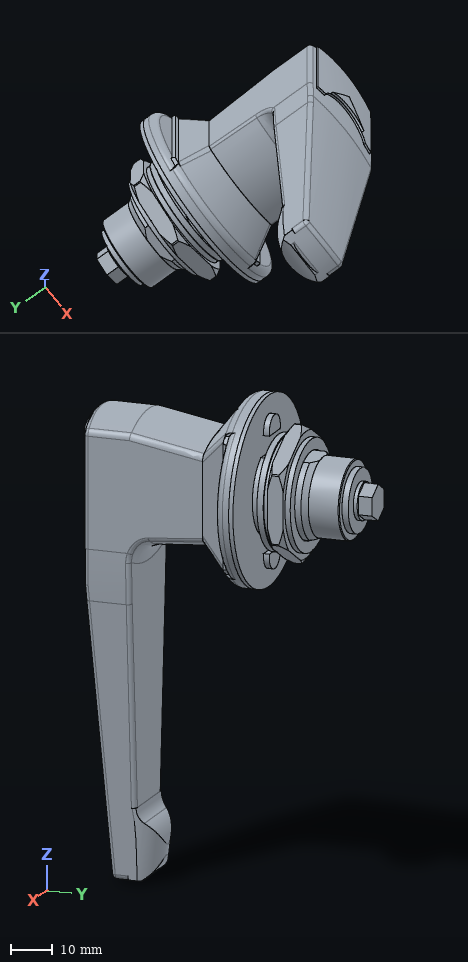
import cadquery as cq
import math


overall_height = 123.9

flange_radius = 48.0 / 2
gasket_thickness = 1.1
flange_front_y = -4.6
flange_front_fillet = 1.9
hub_half_width = 15.5
hub_rim_y = -3.5
hub_cone_y = -5.3
hub_cone_radius = 23.2
hub_root_width = 1.6
hub_edge_fillet = 2.0
joint_y = -12.3

lug_radius = 7.3 / 2
lug_center_z = 15.6
lug_flat_z = 14.7
lug_height = 1.5

neck_radius = 22.2 / 2
neck_flat_z = 19.5 / 2
neck_end_radius = 10.0
neck_length = 14.0
neck_chamfer_length = 1.5

washer_back_y = 2.5
washer_thickness = 1.6
washer_radius = 28.9 / 2
nut_collar_radius = 28.1 / 2
nut_collar_length = 1.4
nut_hex_length = 4.1
nut_across_flats = 30.4
nut_corner_radius = 34.8 / 2
nut_chamfer_start_radius = 15.9
nut_chamfer_length = 1.1

cap_radius = 10.0
cap_length = 7.9
cap_chamfer = 0.2
end_washer_radius = 16.2 / 2
end_washer_thickness = 1.6
bolt_collar_radius = 9.5 / 2
bolt_collar_length = 1.0
bolt_total_length = 4.6
bolt_across_flats = 8.0
end_washer_y = neck_length + cap_length
bolt_y = end_washer_y + end_washer_thickness

shank_half_width = 12.5
shank_crown_z = 14.1
shank_edge_z = 10.5
head_crown_z = 17.3
head_edge_z = 13.8
shank_low_crown_z = -15.6
shank_low_edge_z = -12.3
lever_back_y = -31.0
lever_front_y = -43.9
lever_crown_radius = 68.2
front_taper_start_z = -24.8
front_taper_angle = 4.5
side_blend_start_z = -15.6
side_blend_end_z = -28.6
side_taper_angle = math.radians(3.8)
tip_edge_z = -98.9
tip_crown_z = flange_radius - overall_height
elbow_fillet = 5.2
shank_edge_fillet = 2.0
handle_edge_fillet = 1.1
tip_corner_fillet = 1.5

bulge_root_y = -33.5
bulge_start_z = -80.4
bulge_neck_y = -29.2
bulge_neck_z = -84.3
bulge_back_y = -26.0
bulge_back_z = -91.1
bulge_end_z = -99.5
bulge_crown_radius = 8.8
bulge_crown_tilt = -7.0

pad_half_width = 10.5
pad_crown_z = 16.1
pad_edge_z = 14.0
pad_bottom_z = -16.4
pad_height = 0.5
bay_half_width = 7.8
bay_top_z = -9.7
arrow_tip_z = -1.7
arrow_base_z = -12.3
arrow_half_width = 12.3 / 2
arrow_height = 0.6

trim_length = 371.8

front_rim_limit_y = -37.2
pick_margin = 0.1


def disc(radius, y_start, y_end):
    """Cylinder about the Y axis between two Y positions."""
    return cq.Workplane("XZ", origin=(0, y_start, 0)).circle(radius).extrude(y_start - y_end)


def crowned_section(plane, half_width, top_edge, top_crown, low_edge, low_crown):
    """Outline with straight sides and bowed top and bottom."""
    return (
        plane.moveTo(-half_width, low_edge)
        .lineTo(-half_width, top_edge)
        .threePointArc((0, top_crown), (half_width, top_edge))
        .lineTo(half_width, low_edge)
        .threePointArc((0, low_crown), (-half_width, low_edge))
        .close()
    )


def hexagon(across_flats, y_start, length):
    """Hexagonal prism along Y with corners at top and bottom."""
    return (
        cq.Workplane("XZ", origin=(0, y_start, 0))
        .transformed(rotate=(0, 0, 30))
        .polygon(6, across_flats / math.cos(math.pi / 6))
        .extrude(-length)
    )


def make_neck():
    """Neck with a chamfered end and two flats."""
    neck = disc(neck_radius, -gasket_thickness, neck_length)
    neck = neck.faces(">Y").chamfer(neck_chamfer_length, neck_radius - neck_end_radius)
    between_flats = cq.Workplane("XY").box(trim_length, trim_length, 2 * neck_flat_z)
    return neck.intersect(between_flats)


def make_lugs():
    """Upper and lower lug, round with a flat toward the neck."""
    lug = (
        cq.Workplane("XZ", origin=(0, -gasket_thickness, 0))
        .center(0, lug_center_z)
        .circle(lug_radius)
        .extrude(-gasket_thickness - lug_height)
    )
    inner_side = cq.Workplane("XY").box(trim_length, trim_length, 2 * lug_flat_z)
    lug = lug.cut(inner_side)
    return lug.union(lug.mirror("XY"))


def make_hub():
    """Slab of the flange disc that narrows to the shank outline."""
    rim = (
        cq.Workplane("XY")
        .moveTo(0, -gasket_thickness)
        .lineTo(flange_radius, -gasket_thickness)
        .lineTo(flange_radius, hub_rim_y)
        .tangentArcPoint((hub_cone_radius, hub_cone_y), relative=False)
        .lineTo(0, hub_cone_y)
        .close()
        .revolve(360, (0, 0, 0), (0, 1, 0))
    )
    rim = rim.intersect(cq.Workplane("XY").box(2 * hub_half_width, trim_length, trim_length))
    cone_edge_z = math.sqrt(hub_cone_radius**2 - hub_half_width**2)
    cone = crowned_section(
        cq.Workplane("XZ", origin=(0, hub_cone_y, 0)),
        hub_half_width, cone_edge_z, hub_cone_radius, -cone_edge_z, -hub_cone_radius,
    ).workplane(offset=hub_cone_y - joint_y)
    cone = crowned_section(
        cone, shank_half_width, shank_edge_z, shank_crown_z, -shank_edge_z, -shank_crown_z
    ).loft(ruled=True)
    slanted_edges = cone.edges().filter(
        lambda edge: joint_y + pick_margin < edge.Center().y < hub_cone_y - pick_margin
    )
    return rim.union(slanted_edges.fillet(hub_edge_fillet))


def make_hub_roots():
    """Concave strips between the flange face and both sides of the hub."""
    strip = (
        cq.Workplane("XY", origin=(0, 0, -trim_length / 2))
        .moveTo(hub_half_width - hub_root_width, flange_front_y + hub_root_width)
        .lineTo(hub_half_width + hub_root_width, flange_front_y + hub_root_width)
        .lineTo(hub_half_width + hub_root_width, flange_front_y)
        .tangentArcPoint((-hub_root_width, hub_cone_y - flange_front_y))
        .lineTo(hub_half_width - hub_root_width, hub_cone_y)
        .close()
        .extrude(trim_length)
    )
    strips = strip.union(strip.mirror("YZ"))
    return strips.intersect(disc(hub_cone_radius, -gasket_thickness, hub_cone_y))


def make_base():
    flange = disc(flange_radius, -gasket_thickness, flange_front_y)
    flange = flange.faces("<Y").edges().fillet(flange_front_fillet)
    base = flange.union(make_hub()).union(make_hub_roots())
    return base.union(make_neck()).union(make_lugs())


def make_gasket(base):
    return disc(flange_radius, 0, -gasket_thickness).cut(base)


def make_washer(base):
    back = washer_back_y + washer_thickness
    return disc(washer_radius, washer_back_y, back).cut(disc(neck_radius, washer_back_y, back))


def make_nut():
    start = washer_back_y + washer_thickness
    hex_start = start + nut_collar_length
    hex_end = hex_start + nut_hex_length
    end = hex_end + nut_collar_length
    envelope = (
        disc(nut_corner_radius, hex_start, hex_end)
        .faces("<Y or >Y")
        .chamfer(nut_chamfer_length, nut_corner_radius - nut_chamfer_start_radius)
    )
    nut = hexagon(nut_across_flats, hex_start, nut_hex_length).intersect(envelope)
    nut = nut.union(disc(nut_collar_radius, start, end))
    return nut.cut(disc(neck_radius, start, end))


def make_cap():
    cap = disc(cap_radius, neck_length, end_washer_y)
    return cap.faces(">Y").chamfer(cap_chamfer)


def make_end_washer():
    return disc(end_washer_radius, end_washer_y, bolt_y)


def make_bolt():
    collar = disc(bolt_collar_radius, bolt_y, bolt_y + bolt_collar_length)
    return collar.union(hexagon(bolt_across_flats, bolt_y, bolt_total_length))


def make_shank():
    shank = crowned_section(
        cq.Workplane("XZ", origin=(0, joint_y, 0)),
        shank_half_width, shank_edge_z, shank_crown_z, -shank_edge_z, -shank_crown_z,
    ).workplane(offset=joint_y - lever_back_y)
    return crowned_section(
        shank, shank_half_width, head_edge_z, head_crown_z, shank_low_edge_z, shank_low_crown_z
    ).loft(ruled=True)


def make_lever_blank(y_start):
    """Front outline of head and lever as a prism that reaches past the front."""
    blend_radius = (side_blend_start_z - side_blend_end_z) / math.sin(side_taper_angle)

    def blend_point(side, angle):
        half_width = shank_half_width - blend_radius * (1 - math.cos(angle))
        return side * half_width, side_blend_start_z - blend_radius * math.sin(angle)

    taper_half_width = blend_point(1, side_taper_angle)[0]
    tip_half_width = taper_half_width - (side_blend_end_z - tip_edge_z) * math.tan(side_taper_angle)
    return (
        cq.Workplane("XZ", origin=(0, y_start, 0))
        .moveTo(-shank_half_width, side_blend_start_z)
        .lineTo(-shank_half_width, head_edge_z)
        .threePointArc((0, head_crown_z), (shank_half_width, head_edge_z))
        .lineTo(shank_half_width, side_blend_start_z)
        .threePointArc(blend_point(1, side_taper_angle / 2), blend_point(1, side_taper_angle))
        .lineTo(tip_half_width, tip_edge_z)
        .threePointArc((0, tip_crown_z), (-tip_half_width, tip_edge_z))
        .lineTo(*blend_point(-1, side_taper_angle))
        .threePointArc(blend_point(-1, side_taper_angle / 2), blend_point(-1, 0))
        .close()
        .extrude(y_start - 2 * lever_front_y)
    )


def crowned_front(height):
    """Upright cylinder whose front follows the head, raised by a height."""
    return (
        cq.Workplane("XY", origin=(0, lever_front_y - height + lever_crown_radius, -trim_length / 2))
        .circle(lever_crown_radius)
        .extrude(trim_length)
    )


def make_lever():
    hinge = (0, lever_front_y, front_taper_start_z)
    hinge_end = (1, lever_front_y, front_taper_start_z)
    tapered_front = crowned_front(0).rotate(hinge, hinge_end, front_taper_angle)
    lever = make_lever_blank(lever_back_y).intersect(crowned_front(0)).intersect(tapered_front)
    return lever.edges("|Y").edges("<Z").fillet(tip_corner_fillet)


def make_rounded_body():
    """Shank and lever in one piece with the elbow and all long edges rounded."""
    body = make_shank().union(make_lever())
    elbow = body.edges().filter(
        lambda edge: abs(edge.Center().x) < pick_margin
        and abs(edge.Center().y - lever_back_y) < pick_margin
        and shank_low_crown_z < edge.Center().z < shank_low_edge_z
    )
    body = elbow.fillet(elbow_fillet)

    def is_shank_edge(edge):
        center = edge.Center()
        on_side = abs(center.x) > shank_half_width / 2
        on_head_corner = on_side and center.z > head_edge_z - pick_margin
        on_shank_top = on_side and center.z > head_edge_z / 2 and center.y > lever_back_y
        return on_head_corner or on_shank_top

    def is_lever_edge(edge):
        center = edge.Center()
        on_front_rim = center.y < front_rim_limit_y and abs(center.z - front_taper_start_z) > pick_margin
        on_back = (
            abs(center.x) > shank_half_width / 2
            and lever_back_y - pick_margin < center.y < joint_y - pick_margin
            and tip_edge_z + tip_corner_fillet / 2 < center.z < shank_low_edge_z / 2
        )
        return on_front_rim or on_back

    body = body.edges().filter(is_shank_edge).fillet(shank_edge_fillet)
    return body.edges().filter(is_lever_edge).fillet(handle_edge_fillet)


def make_bulge():
    """Thumb bulge with a round side outline and a crowned back."""
    root_rise = bulge_neck_y - lever_back_y
    root_drop = bulge_start_z - bulge_neck_z
    bulge_root_radius = (root_rise**2 + root_drop**2) / (2 * root_rise)
    side_outline = (
        cq.Workplane("YZ", origin=(-trim_length / 2, 0, 0))
        .moveTo(bulge_root_y, bulge_start_z)
        .lineTo(lever_back_y, bulge_start_z)
        .radiusArc((bulge_neck_y, bulge_neck_z), -bulge_root_radius)
        .threePointArc((bulge_back_y, bulge_back_z), (lever_back_y, bulge_end_z))
        .lineTo(bulge_root_y, bulge_end_z)
        .close()
        .extrude(trim_length)
    )
    crown = (
        cq.Workplane("XY", origin=(0, bulge_back_y - bulge_crown_radius, bulge_back_z - trim_length / 2))
        .circle(bulge_crown_radius)
        .extrude(trim_length)
        .rotate((0, bulge_back_y, bulge_back_z), (1, bulge_back_y, bulge_back_z), bulge_crown_tilt)
    )
    blank = make_lever_blank(0)
    return side_outline.intersect(crown).intersect(blank)


def make_pad():
    """Raised plate on the head with a round bay at its lower end."""
    outline = (
        cq.Workplane("XZ", origin=(0, lever_back_y, 0))
        .moveTo(-pad_half_width, pad_bottom_z)
        .lineTo(-pad_half_width, pad_edge_z)
        .threePointArc((0, pad_crown_z), (pad_half_width, pad_edge_z))
        .lineTo(pad_half_width, pad_bottom_z)
        .lineTo(bay_half_width, pad_bottom_z)
        .threePointArc((0, bay_top_z), (-bay_half_width, pad_bottom_z))
        .close()
        .extrude(lever_back_y - 2 * lever_front_y)
    )
    return outline.intersect(crowned_front(pad_height))


def make_arrow():
    """Raised triangle above the bay of the pad."""
    triangle = (
        cq.Workplane("XZ", origin=(0, lever_back_y, 0))
        .moveTo(0, arrow_tip_z)
        .lineTo(arrow_half_width, arrow_base_z)
        .threePointArc((0, bay_top_z), (-arrow_half_width, arrow_base_z))
        .close()
        .extrude(lever_back_y - 2 * lever_front_y)
    )
    return triangle.intersect(crowned_front(pad_height + arrow_height))


def make_handle():
    return make_rounded_body().union(make_bulge()).union(make_pad()).union(make_arrow())


base = make_base()
gasket = make_gasket(base)
washer = make_washer(base)
nut = make_nut()
cap = make_cap()
end_washer = make_end_washer()
bolt = make_bolt()
handle = make_handle()

result = cq.Compound.makeCompound(
    [
        base.val(),
        gasket.val(),
        washer.val(),
        nut.val(),
        cap.val(),
        end_washer.val(),
        bolt.val(),
        handle.val(),
    ]
)